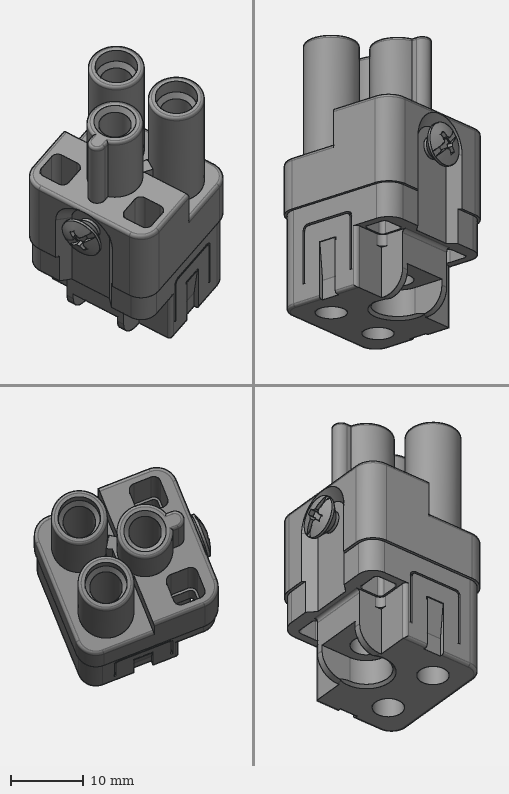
import cadquery as cq
import math


TOTAL_HEIGHT = 40.1
CAP_WIDTH = 21.0
CAP_LEDGE = 0.4
CAP_CORNER = 2.95
BODY_WIDTH = CAP_WIDTH - 2 * CAP_LEDGE
BODY_CORNER = CAP_CORNER - CAP_LEDGE
SKIRT_BOTTOM = 9.25
CAP_BOTTOM = 14.48
REAR_DECK = 22.25
FRONT_DECK = 27.6
DECK_ROUND = 0.52
BASE_FRONT = -3.9
BASE_EDGE_ROUND = 0.6
BOTTOM_ROUND = 0.45

TONGUE_HALF = 4.75
TONGUE_FRONT = -7.7
TONGUE_TOE_RADIUS = 3.5
TONGUE_TOP_FILLET = 0.52
TONGUE_SIDE_FILLET = 1.0
SIDE_FILLET_BOTTOM = 7.55
CABLE_SLOT_RADIUS = 3.7
CABLE_SLOT_HEIGHT = 4.4
CABLE_CHAMFER = 0.45

SOCKET_RADIUS = 3.9
SOCKET_ROUND = 0.45
TALL_X = 5.0
TALL_Y = 5.0
EARTH_Y = -2.8
EARTH_TOP = 39.3
KEY_RADIUS = 1.3
KEY_Y = -7.25
MOUTH_RADIUS = 2.93
BORE_RADIUS = 2.25
TALL_MOUTH_DEPTH = 2.33
MOUTH_CONE_DEPTH = 0.7

WEB_FRONT_HALF = 2.95
WEB_FLARE_HALF = 3.73
WEB_FLARE_Y = 1.12
WEB_BACK_HALF = 1.7
WEB_BACK_Y = 1.4
WEB_TIP_HALF = 2.1
WEB_TIP_Y = 2.15

WINDOW_X = 6.95
WINDOW_Y = -6.1
WINDOW_SIZE = 3.85
WINDOW_CORNER = 0.65
WINDOW_LEDGE = 0.35

SCREW_Z = 22.55
POCKET_RADIUS = TONGUE_HALF
POCKET_DEPTH = 1.6
HEAD_RADIUS = 3.13
HEAD_TIP_Y = -12.07
RIM_FRONT_Y = -11.3
RIM_BACK_Y = -10.9
NECK_RADIUS = 1.6
NECK_ROOT = 0.4
DRIVE_WIDTH = 0.85
DRIVE_SLOT_DEPTH = 0.8
CROSS_DEPTH = 1.0
CROSS_ALONG_SLOT = 2.55
CROSS_ACROSS_SLOT = 3.3
CROSS_CORE_RADIUS = 0.9
DRIVE_ANGLE = -45

LATCH_Y = 1.45
LATCH_WIDTH = 8.75
LATCH_TOP = 11.7
LATCH_BOTTOM = 2.93
LATCH_CORNER = 0.9
SLIT_WIDTH = 0.3
SLIT_DEPTH = 1.0
CHANNEL_WIDTH = 2.9
CHANNEL_DEPTH = 0.72
RAMP_TOP = 8.45
RAMP_TOP_DEPTH = 0.12

FRONT_Y = -CAP_WIDTH / 2
POCKET_FLOOR_Y = FRONT_Y + POCKET_DEPTH
SIDE_X = BODY_WIDTH / 2


def rounded_block(width, corner, bottom, top):
    """Square block centred on Z with rounded vertical edges."""
    block = cq.Workplane("XY", origin=(0, 0, bottom)).rect(width, width).extrude(top - bottom)
    return block.edges("|Z").fillet(corner)


def slab(half_x, y_from, y_to, z_from, z_to):
    """Box centred on X = 0 between the given Y and Z limits."""
    box = cq.Workplane("XY").box(2 * half_x, y_to - y_from, z_to - z_from, centered=(True, False, False))
    return box.translate((0, y_from, z_from))


def make_base():
    """Lower body, flat across the front, rounded along the bottom of its sides and back."""
    block = rounded_block(BODY_WIDTH, BODY_CORNER, 0, SKIRT_BOTTOM)
    block = block.faces("<Z").edges().fillet(BOTTOM_ROUND)
    rear = slab(SIDE_X, BASE_FRONT, SIDE_X, 0, SKIRT_BOTTOM).edges("|Z and <Y").fillet(BASE_EDGE_ROUND)
    return block.intersect(rear)


def make_cap():
    """Upper body with a low rear deck and a high front deck."""
    rear = rounded_block(CAP_WIDTH, CAP_CORNER, CAP_BOTTOM, REAR_DECK)
    front = rounded_block(CAP_WIDTH, CAP_CORNER, CAP_BOTTOM, FRONT_DECK)
    rear = rear.faces(">Z").edges().fillet(DECK_ROUND)
    front = front.faces(">Z").edges().fillet(DECK_ROUND)
    front = front.intersect(slab(CAP_WIDTH / 2, FRONT_Y, 0, CAP_BOTTOM, FRONT_DECK))
    return rear.union(front)


def make_tongue():
    """Block below the pocket with a rounded toe and hollow fillets around its top."""
    toe = TONGUE_TOE_RADIUS
    lip = TONGUE_TOP_FILLET
    diagonal = math.sqrt(0.5)
    toe_mid = (TONGUE_FRONT + toe * (1 - diagonal), toe * (1 - diagonal))
    lip_mid = (TONGUE_FRONT - lip * (1 - diagonal), SKIRT_BOTTOM - lip * (1 - diagonal))
    tongue = (
        cq.Workplane("YZ", origin=(-TONGUE_HALF, 0, 0))
        .moveTo(0, 0)
        .lineTo(TONGUE_FRONT + toe, 0)
        .threePointArc(toe_mid, (TONGUE_FRONT, toe))
        .lineTo(TONGUE_FRONT, SKIRT_BOTTOM - lip)
        .threePointArc(lip_mid, (TONGUE_FRONT - lip, SKIRT_BOTTOM))
        .lineTo(0, SKIRT_BOTTOM)
        .close()
        .extrude(2 * TONGUE_HALF)
    )
    for side in (-1, 1):
        tongue = tongue.union(make_tongue_side_fillet(side))
    return tongue


def make_tongue_side_fillet(side):
    """Hollow fillet between one side of the tongue and the base front."""
    size = TONGUE_SIDE_FILLET
    height = SKIRT_BOTTOM - SIDE_FILLET_BOTTOM
    corner_x = side * (TONGUE_HALF + size / 2)
    plane = cq.Workplane("XY", origin=(corner_x, BASE_FRONT - size / 2, SIDE_FILLET_BOTTOM))
    hollow = plane.center(side * size / 2, -size / 2).circle(size).extrude(height)
    return plane.rect(size, size).extrude(height).cut(hollow)


def cable_slot():
    """Flared hole under the earth socket, open to the front."""
    radius = CABLE_SLOT_RADIUS
    hole = cq.Workplane("XY").center(0, EARTH_Y).circle(radius).extrude(CABLE_SLOT_HEIGHT)
    flare = cq.Workplane(cq.Solid.makeCone(
        radius + CABLE_CHAMFER, radius, CABLE_CHAMFER, pnt=cq.Vector(0, EARTH_Y, 0)))
    return hole.union(flare).union(slab(radius, FRONT_Y, EARTH_Y, 0, CABLE_SLOT_HEIGHT))


def make_web():
    """Bridge at front deck height behind the earth socket."""
    outline = [
        (WEB_FRONT_HALF, EARTH_Y),
        (WEB_FRONT_HALF, 0),
        (WEB_FLARE_HALF, WEB_FLARE_Y),
        (WEB_TIP_HALF, WEB_TIP_Y),
        (WEB_BACK_HALF, WEB_BACK_Y),
    ]
    outline += [(-x, y) for x, y in reversed(outline)]
    plane = cq.Workplane("XY", origin=(0, 0, CAP_BOTTOM))
    return plane.polyline(outline).close().extrude(FRONT_DECK - CAP_BOTTOM)


def make_tall_socket(x):
    """Plain round socket with a rounded rim."""
    plane = cq.Workplane("XY", origin=(x, TALL_Y, CAP_BOTTOM))
    post = plane.circle(SOCKET_RADIUS).extrude(TOTAL_HEIGHT - CAP_BOTTOM)
    return post.faces(">Z").edges().fillet(SOCKET_ROUND)


def make_earth_socket():
    """Short socket with a key rib down its front."""
    height = EARTH_TOP - CAP_BOTTOM
    plane = cq.Workplane("XY", origin=(0, 0, CAP_BOTTOM))
    post = plane.center(0, EARTH_Y).circle(SOCKET_RADIUS).extrude(height)
    key = plane.center(0, KEY_Y).circle(KEY_RADIUS).extrude(height)
    key = key.union(slab(KEY_RADIUS, KEY_Y, EARTH_Y, CAP_BOTTOM, EARTH_TOP))
    return post.union(key).faces(">Z").edges().fillet(SOCKET_ROUND)


def socket_bore(x, y, top, mouth_depth):
    """Through bore with a wider mouth that narrows in a cone below mouth_depth."""
    cone_top = top - mouth_depth
    profile = [
        (0, 0),
        (BORE_RADIUS, 0),
        (BORE_RADIUS, cone_top - MOUTH_CONE_DEPTH),
        (MOUTH_RADIUS, cone_top),
    ]
    if mouth_depth > 0:
        profile.append((MOUTH_RADIUS, top))
    profile.append((0, top))
    return cq.Workplane("XZ").polyline(profile).close().revolve().translate((x, y, 0))


def window(x):
    """Square hole down through the overhang, wider inside the cap."""
    hole = rounded_block(WINDOW_SIZE, WINDOW_CORNER, SKIRT_BOTTOM, CAP_BOTTOM)
    wide_size = WINDOW_SIZE + 2 * WINDOW_LEDGE
    wide_part = rounded_block(wide_size, WINDOW_CORNER + WINDOW_LEDGE, CAP_BOTTOM, FRONT_DECK)
    return hole.union(wide_part).translate((x, WINDOW_Y, 0))


def screw_pocket():
    """Arch-topped recess with sloping walls, open at the underside of the skirt."""
    inner = POCKET_RADIUS - POCKET_DEPTH
    arch = cq.Workplane(cq.Solid.makeCone(
        POCKET_RADIUS, inner, POCKET_DEPTH,
        pnt=cq.Vector(0, FRONT_Y, SCREW_Z), dir=cq.Vector(0, 1, 0),
    ))
    section = [
        (-POCKET_RADIUS, FRONT_Y),
        (-inner, POCKET_FLOOR_Y),
        (inner, POCKET_FLOOR_Y),
        (POCKET_RADIUS, FRONT_Y),
    ]
    channel = cq.Workplane("XY", origin=(0, 0, SKIRT_BOTTOM)).polyline(section).close()
    return arch.union(channel.extrude(SCREW_Z - SKIRT_BOTTOM))


def drive_bar(length, depth, angle):
    """Straight cut through the middle of the screw head, square to the head axis."""
    plane = cq.Workplane("XZ", origin=(0, HEAD_TIP_Y + depth, 0))
    return plane.rect(length, DRIVE_WIDTH).extrude(depth).rotate((0, 0, 0), (0, 1, 0), angle)


def cross_recess():
    """Four flat-floored arms around a round core."""
    plane = cq.Workplane("XZ", origin=(0, HEAD_TIP_Y + CROSS_DEPTH, 0))
    core = plane.circle(CROSS_CORE_RADIUS).extrude(CROSS_DEPTH)
    along = drive_bar(CROSS_ALONG_SLOT, CROSS_DEPTH, DRIVE_ANGLE)
    across = drive_bar(CROSS_ACROSS_SLOT, CROSS_DEPTH, DRIVE_ANGLE + 90)
    return core.union(along).union(across)


def make_screw():
    """Domed screw head on a neck, with a slot and a cross recess."""
    dome_height = RIM_FRONT_Y - HEAD_TIP_Y
    dome_radius = (HEAD_RADIUS ** 2 + dome_height ** 2) / (2 * dome_height)
    half_x = HEAD_RADIUS / 2
    dome_mid_y = HEAD_TIP_Y + dome_radius - math.sqrt(dome_radius ** 2 - half_x ** 2)
    cone_length = HEAD_RADIUS - NECK_RADIUS
    head = (
        cq.Workplane("XY")
        .moveTo(0, HEAD_TIP_Y)
        .threePointArc((half_x, dome_mid_y), (HEAD_RADIUS, RIM_FRONT_Y))
        .lineTo(HEAD_RADIUS, RIM_BACK_Y)
        .lineTo(NECK_RADIUS, RIM_BACK_Y + cone_length)
        .lineTo(NECK_RADIUS, POCKET_FLOOR_Y + NECK_ROOT)
        .lineTo(0, POCKET_FLOOR_Y + NECK_ROOT)
        .close()
        .revolve(360, (0, 0, 0), (0, 1, 0))
    )
    slot = drive_bar(2 * HEAD_RADIUS, DRIVE_SLOT_DEPTH, DRIVE_ANGLE)
    head = head.cut(slot).cut(cross_recess())
    return head.translate((0, 0, SCREW_Z))


def latch_arch(margin):
    """Round-shouldered block in the -X side, smaller than the latch by margin at sides and top."""
    height = LATCH_TOP - margin - LATCH_BOTTOM
    block = cq.Workplane("XY").box(
        SLIT_DEPTH, LATCH_WIDTH - 2 * margin, height, centered=(False, True, False))
    block = block.edges("|X and >Z").fillet(LATCH_CORNER - margin)
    return block.translate((-SIDE_X, LATCH_Y, LATCH_BOTTOM))


def latch_cut():
    """Slit, channel and ramp that form the latch in the -X side."""
    slit = latch_arch(0).cut(latch_arch(SLIT_WIDTH))
    section = [
        (-SIDE_X, 0),
        (-SIDE_X, RAMP_TOP),
        (-SIDE_X + RAMP_TOP_DEPTH, RAMP_TOP),
        (-SIDE_X + CHANNEL_DEPTH, LATCH_BOTTOM),
        (-SIDE_X + CHANNEL_DEPTH, 0),
    ]
    channel = cq.Workplane("XZ", origin=(0, LATCH_Y + CHANNEL_WIDTH / 2, 0)).polyline(section).close()
    return slit.union(channel.extrude(CHANNEL_WIDTH))


skirt = rounded_block(BODY_WIDTH, BODY_CORNER, SKIRT_BOTTOM, CAP_BOTTOM)
body = make_base().union(skirt).union(make_cap()).union(make_tongue())
body = body.cut(cable_slot()).cut(screw_pocket())
for side in (-1, 1):
    body = body.cut(window(side * WINDOW_X))

body = body.union(make_web()).union(make_earth_socket())
for side in (-1, 1):
    body = body.union(make_tall_socket(side * TALL_X))
    body = body.cut(socket_bore(side * TALL_X, TALL_Y, TOTAL_HEIGHT, TALL_MOUTH_DEPTH))
body = body.cut(socket_bore(0, EARTH_Y, EARTH_TOP, 0))

left_latch = latch_cut()
body = body.cut(left_latch).cut(left_latch.mirror("YZ"))

result = body.union(make_screw())